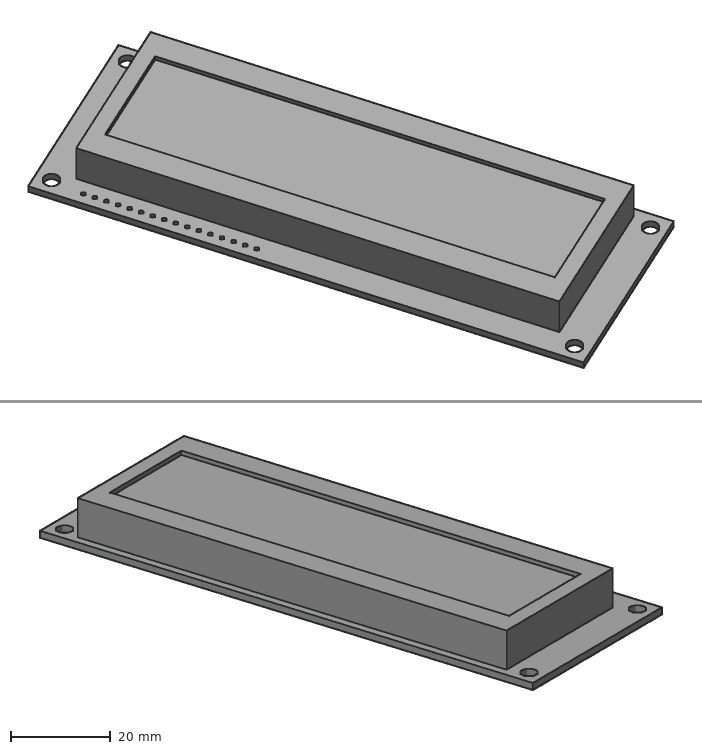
import cadquery as cq

board_length = 122.0
board_width = 44.0
board_thickness = 1.6
total_height = 10.2

housing_length = 106.1
housing_width = 36.2
housing_offset_y = 2.0
housing_height = total_height - board_thickness

window_length = 98.8
window_width = 24.4
window_depth = 1.0

mount_diameter = 3.5
mount_inset = 3.5
mount_spacing_x = board_length - 2 * mount_inset
mount_spacing_y = board_width - 2 * mount_inset

pin_count = 16
pin_diameter = 1.0
pin_row_length = 38.1
pin_pitch = pin_row_length / (pin_count - 1)
first_pin_x = -50.0
pin_row_inset = 2.6
pin_row_y = -board_width / 2 + pin_row_inset


def make_board():
    board = cq.Workplane("XY").box(
        board_length, board_width, board_thickness, centered=(True, True, False)
    )
    mounts = (
        cq.Workplane("XY")
        .rect(mount_spacing_x, mount_spacing_y, forConstruction=True)
        .vertices()
        .circle(mount_diameter / 2)
        .extrude(board_thickness)
    )
    pin_points = [(first_pin_x + i * pin_pitch, pin_row_y) for i in range(pin_count)]
    pins = (
        cq.Workplane("XY")
        .pushPoints(pin_points)
        .circle(pin_diameter / 2)
        .extrude(board_thickness)
    )
    return board.cut(mounts).cut(pins)


def make_housing():
    housing = (
        cq.Workplane("XY", origin=(0, housing_offset_y, board_thickness))
        .rect(housing_length, housing_width)
        .extrude(housing_height)
    )
    window = (
        cq.Workplane("XY", origin=(0, housing_offset_y, total_height))
        .rect(window_length, window_width)
        .extrude(-window_depth)
    )
    return housing.cut(window)


result = make_board().union(make_housing())